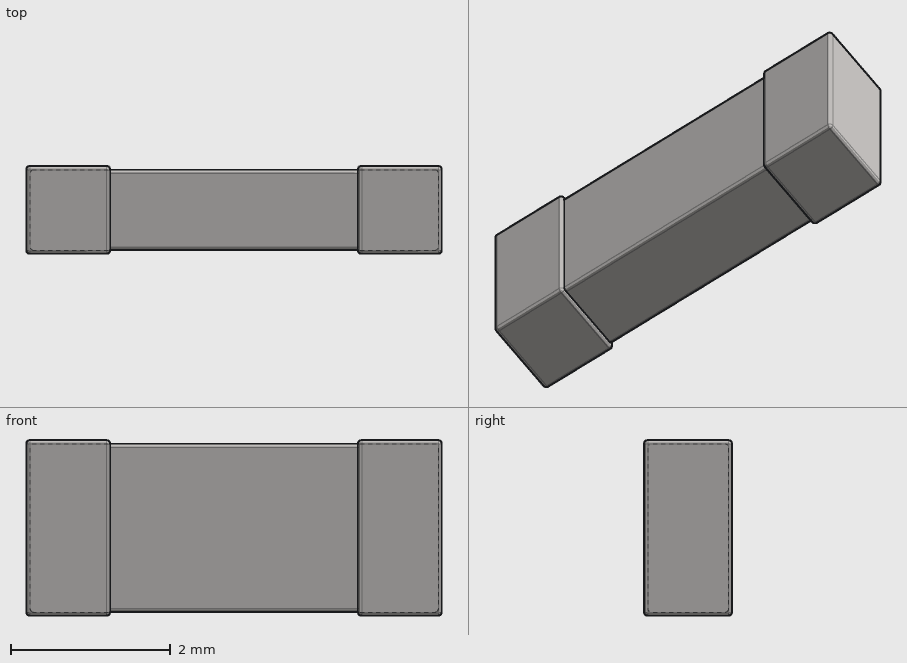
import cadquery as cq

LENGTH = 5.2
WIDTH = 1.1
HEIGHT = 2.2

CAP_LENGTH = 1.05
CAP_WALL = 0.0465
EDGE_RADIUS = CAP_WALL


def rounded_block(length, width, height):
    """A centred block with all twelve edges rounded."""
    block = cq.Workplane("XY").box(length, width, height)
    return block.edges().fillet(EDGE_RADIUS).solids()


def make_core():
    """The block that runs between the end caps and into them."""
    return rounded_block(
        LENGTH - 2 * CAP_WALL,
        WIDTH - 2 * CAP_WALL,
        HEIGHT - 2 * CAP_WALL,
    )


def make_cap(side, core):
    """An end cap with a recess fitting the core; side is -1 or +1 along X."""
    center_x = side * (LENGTH - CAP_LENGTH) / 2
    block = rounded_block(CAP_LENGTH, WIDTH, HEIGHT).translate((center_x, 0, 0))
    return block.cut(core).solids()


core = make_core()
caps = [make_cap(side, core) for side in (-1, 1)]

result = cq.Compound.makeCompound([core.val(), *[cap.val() for cap in caps]])